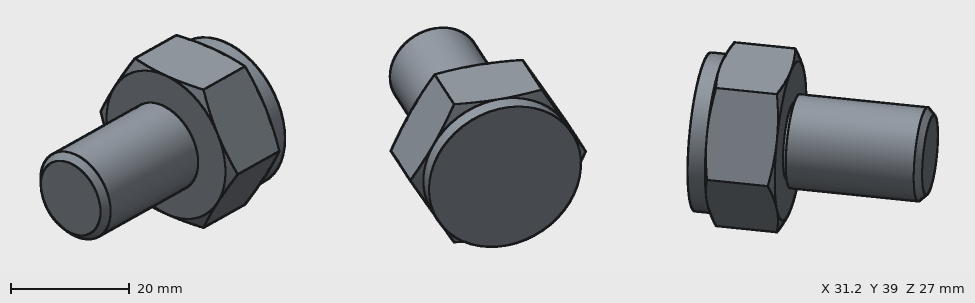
import cadquery as cq
import math

total_length = 39.0
across_flats = 27.0
collar_length = 3.0
hex_length = 12.0
neck_length = 0.78
neck_diameter = 13.0
shank_diameter = 16.0
tip_chamfer = 1.2
corner_chamfer_drop = 0.78

across_corners = across_flats / math.cos(math.radians(30))
flat_radius = across_flats / 2
corner_radius = across_corners / 2
neck_radius = neck_diameter / 2
shank_radius = shank_diameter / 2

hex_back = -collar_length
hex_front = hex_back - hex_length
shank_start = hex_front - neck_length
tip = -total_length


def revolve_profile(points):
    """Revolve a closed (radius, y) outline around the Y axis."""
    return cq.Workplane("XY").polyline(points).close().revolve(360, (0, 0, 0), (0, 1, 0))


def make_hex_head():
    """Hexagon with corners on X, coned at both ends down to the flats."""
    prism = (
        cq.Workplane("XZ", origin=(0, hex_back, 0))
        .polygon(6, across_corners)
        .extrude(hex_length)
    )
    cone_envelope = revolve_profile([
        (0, hex_back),
        (flat_radius, hex_back),
        (corner_radius, hex_back - corner_chamfer_drop),
        (corner_radius, hex_front + corner_chamfer_drop),
        (flat_radius, hex_front),
        (0, hex_front),
    ])
    return prism.intersect(cone_envelope)


def make_round_body():
    """Collar, core through the head, undercut neck and chamfered shank."""
    return revolve_profile([
        (0, 0),
        (flat_radius, 0),
        (flat_radius, hex_back),
        (neck_radius, hex_back),
        (neck_radius, shank_start),
        (shank_radius, shank_start),
        (shank_radius, tip + tip_chamfer),
        (shank_radius - tip_chamfer, tip),
        (0, tip),
    ])


result = make_round_body().union(make_hex_head())